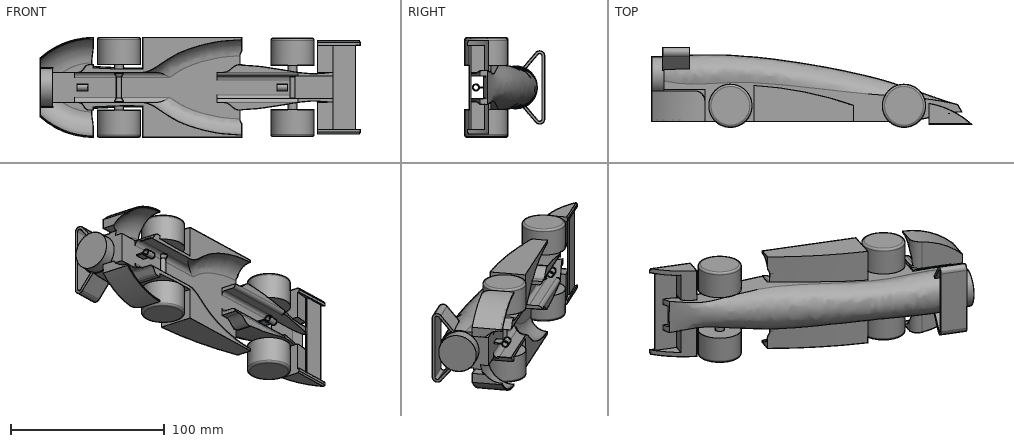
import cadquery as cq


CAR_LENGTH = 208.0
HALF_WIDTH = 32.5
FLOOR = 3.7
CEILING = 14.8
MARGIN = 4.2

WHEEL_DIAMETER = 28.0
WHEEL_WIDTH = 17.7
WHEEL_EDGE_RADIUS = 1.5
AXLE_HEIGHT = WHEEL_DIAMETER / 2
AXLE_DIAMETER = 3.5
STUB_DIAMETER = 6.0
STUB_INNER_Z = 6.9
STUB_TAPER_LENGTH = 2.3
REAR_AXLE_X = 51.2
FRONT_AXLE_X = 164.0
REAR_WHEEL_OUTER_Z = HALF_WIDTH
FRONT_WHEEL_OUTER_Z = 32.0

THRUSTER_RADIUS = 12.5
THRUSTER_HEIGHT = 33.5
HULL_START = 8.1

HULL_SECTIONS = [
    (HULL_START, 12.5, 30.2, 46.8),
    (41.6, 12.3, 28.7, 47.2),
    (83.2, 13.0, 27.9, 43.9),
    (131.0, 14.5, 22.7, 35.5),
    (164.3, 10.2, 20.0, 26.5),
    (189.3, 9.8, 16.9, 17.7),
    (201.8, 9.8, 14.1, 14.5),
]
NOSE_TIP_X = 201.5
NOSE_TOP_END = (198.7, 15.2)
NOSE_TIP_HEIGHT = 10.0
NOSE_UNDERSIDE_START = 167.5
NOSE_UNDERSIDE_END = 197.6
NOSE_CEILING_END = 12.7

POD_END = 34.5
POD_TOP = 23.7
POD_BACK_Z = 19.1
POD_INNER_Z = 13.0
POD_ROOF_RADIUS = 6.5
POD_WALL = 0.8
POD_COVE_RADIUS = 15.5
POD_CAVITY_TOP = 20.5
POD_ROOT_TOP = 24.8
POD_ROOT_Z = 13.5
POD_RISE = HALF_WIDTH - POD_BACK_Z
POD_ARC_RADIUS = (POD_END**2 + POD_RISE**2) / (2 * POD_RISE)
POD_ARC_CENTRE_Z = HALF_WIDTH - POD_ARC_RADIUS

SIDEPOD_START = 66.5
SIDEPOD_END = 131.0
SIDEPOD_TOP_START = 27.3
SIDEPOD_TOP_MIDDLE = (106.7, 21.5)
SIDEPOD_TOP_END = 14.4
TUNNEL_COVE_RADIUS = 10.5
TUNNEL_MIDDLE = [(77.2, 14.4), (88.5, 21.5), (108.2, 28.3)]
TUNNEL_END_Z = 31.0
TUNNEL_START_DIRECTION = (1, 0.1)
TUNNEL_END_DIRECTION = (1, 0.05)

CHANNEL_HALF_WIDTH = 9.8
REAR_COVE_RADIUS = 3.3
REAR_WALL_START = 22.5
REAR_WALL_FLARE_START = 24.8
REAR_WALL_FLARE_END = 32.0
REAR_CHANNEL_END = 87.4
FRONT_CHANNEL_HALF_WIDTH = 7.3
FRONT_COVE_RADIUS = 2.5
FRONT_LIP_RADIUS = CHANNEL_HALF_WIDTH - FRONT_CHANNEL_HALF_WIDTH
FRONT_WALL_START = 114.8
FRONT_WALL_FLARE_START = 119.0
FRONT_WALL_FLARE_END = 129.8
WALL_FLARE_Z = 14.8

WING_START = 180.2
WING_TOP = 15.5
WING_BOTTOM = 1.9
WING_TOP_MIDDLE = (194.5, 11.0)
ENDPLATE_INNER_Z = 27.3
ENDPLATE_OUTER_Z = 30.4
ENDPLATE_CHAMFER_HEIGHT = 1.2
ENDPLATE_CHAMFER_WIDTH = 0.6
BLOCK_END = 190.1
BLOCK_INNER_Z = 9.5
BLOCK_BOTTOM_START = 3.0
BLOCK_BOTTOM_END = 4.0
FLAP_END = 205.0
FLAP_BOTTOM = 3.0
FLAP_TOP = 4.2

REAR_WING_START = 7.0
REAR_WING_END = 24.8
REAR_WING_TOP = 52.0
REAR_WING_CORNER_Z = 29.5
REAR_WING_FOOT = 35.4
REAR_WING_FOOT_Z = 10.0
REAR_WING_THICKNESS = 1.9
REAR_WING_CORNER_RADIUS = 3.3

EYELET_OUTER_DIAMETER = 4.5
EYELET_BORE = 3.5
EYELET_HEIGHT = 7.3
EYELET_LENGTH = 7.0
EYELET_RIB = 0.8
EYELET_STARTS = [24.0, 153.7]


def box(x0, x1, y0, y1, z0, z1):
    """Box between the given limits."""
    return cq.Workplane("XY").box(x1 - x0, y1 - y0, z1 - z0, centered=False).translate((x0, y0, z0))


def plan(height):
    """Horizontal workplane at a height, with local coordinates (X, Z); it extrudes towards -Y."""
    return cq.Workplane(cq.Plane((0, height, 0), xDir=(1, 0, 0), normal=(0, -1, 0)))


def mirrored(shape):
    """Shape together with its mirror image on the other side of the car."""
    return shape.union(shape.mirror("XY"))


def along_x(x, height, radius, length):
    """Cylinder on the plane of symmetry, running along X."""
    return cq.Workplane("YZ", origin=(x, height, 0)).circle(radius).extrude(length)


def make_hull():
    hull = cq.Workplane("YZ")
    previous_x = 0.0
    for x, half_width, crease, ridge in HULL_SECTIONS:
        hull = (
            hull.workplane(offset=x - previous_x)
            .moveTo(crease, -half_width)
            .threePointArc((ridge, 0), (crease, half_width))
            .lineTo(FLOOR, half_width)
            .lineTo(FLOOR, -half_width)
            .close()
        )
        previous_x = x
    hull = hull.loft(combine=True)
    thruster = along_x(0, THRUSTER_HEIGHT, THRUSTER_RADIUS, HULL_START + MARGIN)
    return hull.union(thruster)


def pod_arc_z(x, radius):
    """Z on a circle that shares its centre with the outer arc of the pod."""
    return POD_ARC_CENTRE_Z + (radius**2 - (x - POD_END) ** 2) ** 0.5


def make_pod():
    middle_x = POD_END / 2
    pod = (
        plan(POD_TOP)
        .moveTo(0, POD_INNER_Z)
        .lineTo(0, POD_BACK_Z)
        .threePointArc((middle_x, pod_arc_z(middle_x, POD_ARC_RADIUS)), (POD_END, HALF_WIDTH))
        .lineTo(POD_END, CHANNEL_HALF_WIDTH)
        .lineTo(HULL_START, CHANNEL_HALF_WIDTH)
        .lineTo(HULL_START, POD_INNER_Z)
        .close()
        .extrude(POD_TOP - FLOOR)
    )
    pod = pod.faces(">X").edges(">Y").fillet(POD_ROOF_RADIUS)
    return pod.union(box(HULL_START, POD_END, FLOOR, POD_ROOT_TOP, 0, POD_ROOT_Z))


def make_sidepod():
    return (
        cq.Workplane("XY")
        .moveTo(SIDEPOD_START, FLOOR)
        .lineTo(SIDEPOD_START, SIDEPOD_TOP_START)
        .threePointArc(SIDEPOD_TOP_MIDDLE, (SIDEPOD_END, SIDEPOD_TOP_END))
        .lineTo(SIDEPOD_END, FLOOR)
        .close()
        .extrude(HALF_WIDTH)
    )


def wall_keeper(start, flare_start, flare_end, end):
    """Block that protects a channel wall, with an outer face that flares out in an S."""
    return (
        plan(POD_CAVITY_TOP + MARGIN)
        .moveTo(start, 0)
        .lineTo(start, CHANNEL_HALF_WIDTH)
        .lineTo(flare_start, CHANNEL_HALF_WIDTH)
        .spline([(flare_end, WALL_FLARE_Z)], tangents=[(1, 0), (1, 0)], includeCurrent=True)
        .lineTo(end, WALL_FLARE_Z)
        .lineTo(end, 0)
        .close()
        .extrude(POD_CAVITY_TOP + 2 * MARGIN)
    )


def pod_cavity():
    """Space under a rear pod, coved where it meets the outer wall."""
    radius = POD_ARC_RADIUS - POD_WALL
    back_x = -MARGIN
    middle_x = POD_END / 2
    cavity = (
        plan(POD_CAVITY_TOP)
        .moveTo(back_x, -CHANNEL_HALF_WIDTH)
        .lineTo(back_x, pod_arc_z(back_x, radius))
        .threePointArc((middle_x, pod_arc_z(middle_x, radius)), (POD_END, HALF_WIDTH - POD_WALL))
        .lineTo(POD_END, -CHANNEL_HALF_WIDTH)
        .close()
        .extrude(POD_CAVITY_TOP - FLOOR + MARGIN)
    )
    cavity = cavity.edges(cq.selectors.NearestToPointSelector((middle_x, POD_CAVITY_TOP, HALF_WIDTH)))
    cavity = cavity.fillet(POD_COVE_RADIUS)
    beside_channel = box(back_x, POD_END, -MARGIN, POD_CAVITY_TOP, CHANNEL_HALF_WIDTH, HALF_WIDTH)
    cavity = cavity.intersect(beside_channel)
    return cavity.cut(
        wall_keeper(REAR_WALL_START, REAR_WALL_FLARE_START, REAR_WALL_FLARE_END, POD_END + MARGIN)
    )


def sidepod_tunnel():
    """Coved tunnel that leaves the channel and sweeps outwards under a sidepod."""
    tunnel_x, tunnel_z = TUNNEL_MIDDLE[1]
    far_z = -HALF_WIDTH
    tunnel = (
        plan(CEILING)
        .moveTo(SIDEPOD_START, far_z)
        .lineTo(SIDEPOD_START, CHANNEL_HALF_WIDTH)
        .spline(
            TUNNEL_MIDDLE + [(SIDEPOD_END, TUNNEL_END_Z)],
            tangents=[TUNNEL_START_DIRECTION, TUNNEL_END_DIRECTION],
            includeCurrent=True,
        )
        .lineTo(SIDEPOD_END, far_z)
        .close()
        .extrude(CEILING - FLOOR + MARGIN)
    )
    tunnel = tunnel.edges(cq.selectors.NearestToPointSelector((tunnel_x, CEILING, tunnel_z)))
    tunnel = tunnel.fillet(TUNNEL_COVE_RADIUS)
    flat_half_width = CHANNEL_HALF_WIDTH - REAR_COVE_RADIUS
    tunnel = tunnel.intersect(box(SIDEPOD_START, SIDEPOD_END, -MARGIN, CEILING, flat_half_width, HALF_WIDTH))
    return tunnel.cut(
        wall_keeper(FRONT_WALL_START, FRONT_WALL_FLARE_START, FRONT_WALL_FLARE_END, SIDEPOD_END + MARGIN)
    )


def rear_channel():
    """Channel under the back of the hull; ahead of its walls the roof is flat."""
    half_width = CHANNEL_HALF_WIDTH
    coved = box(REAR_WALL_START, REAR_CHANNEL_END, -MARGIN, CEILING, -half_width, half_width)
    coved = coved.edges("|X and >Y").fillet(REAR_COVE_RADIUS)
    behind_walls = box(0, REAR_WALL_START, -MARGIN, CEILING, -half_width, half_width)
    flat_half_width = half_width - REAR_COVE_RADIUS
    ahead = box(REAR_CHANNEL_END, FRONT_WALL_START, -MARGIN, CEILING, -flat_half_width, flat_half_width)
    return coved.union(behind_walls).union(ahead)


def front_channel():
    """Channel between the front walls, coved at the roof and rounded at the lower lips."""
    half_width = FRONT_CHANNEL_HALF_WIDTH
    lip_height = FLOOR + FRONT_LIP_RADIUS
    half = (
        cq.Workplane("YZ", origin=(FRONT_WALL_START, 0, 0))
        .moveTo(CEILING, 0)
        .lineTo(CEILING, half_width - FRONT_COVE_RADIUS)
        .radiusArc((CEILING - FRONT_COVE_RADIUS, half_width), -FRONT_COVE_RADIUS)
        .lineTo(lip_height, half_width)
        .radiusArc((FLOOR, CHANNEL_HALF_WIDTH), FRONT_LIP_RADIUS)
        .lineTo(-MARGIN, CHANNEL_HALF_WIDTH)
        .lineTo(-MARGIN, 0)
        .close()
        .extrude(NOSE_UNDERSIDE_START - FRONT_WALL_START)
    )
    return mirrored(half)


def nose_channel():
    """Channel through the nose, with a roof that slopes down towards the tip."""
    return (
        cq.Workplane("XY")
        .moveTo(FRONT_AXLE_X, -MARGIN)
        .lineTo(FRONT_AXLE_X, CEILING)
        .lineTo(BLOCK_END, CEILING)
        .lineTo(CAR_LENGTH, NOSE_CEILING_END)
        .lineTo(CAR_LENGTH, -MARGIN)
        .close()
        .extrude(FRONT_CHANNEL_HALF_WIDTH, both=True)
    )


def nose_trim():
    """Space below and in front of the nose."""
    return (
        cq.Workplane("XY")
        .moveTo(NOSE_UNDERSIDE_START, -MARGIN)
        .lineTo(NOSE_UNDERSIDE_START, FLOOR)
        .lineTo(NOSE_UNDERSIDE_END, NOSE_TIP_HEIGHT)
        .lineTo(NOSE_TIP_X, NOSE_TIP_HEIGHT)
        .lineTo(*NOSE_TOP_END)
        .lineTo(NOSE_TOP_END[0], NOSE_TOP_END[1] + MARGIN)
        .lineTo(CAR_LENGTH, NOSE_TOP_END[1] + MARGIN)
        .lineTo(CAR_LENGTH, -MARGIN)
        .close()
        .extrude(HALF_WIDTH, both=True)
    )


def wing_profile(inner_z, outer_z):
    """Side profile of the front wing, as a plate between two Z values."""
    return (
        cq.Workplane("XY", origin=(0, 0, inner_z))
        .moveTo(WING_START, WING_BOTTOM)
        .lineTo(WING_START, WING_TOP)
        .threePointArc(WING_TOP_MIDDLE, (CAR_LENGTH, WING_BOTTOM))
        .close()
        .extrude(outer_z - inner_z)
    )


def make_front_wing():
    endplate = (
        wing_profile(ENDPLATE_INNER_Z, ENDPLATE_OUTER_Z)
        .faces("<Y")
        .edges(">Z")
        .chamfer(ENDPLATE_CHAMFER_HEIGHT, ENDPLATE_CHAMFER_WIDTH)
    )
    block_limits = (
        cq.Workplane("XY", origin=(0, 0, BLOCK_INNER_Z))
        .moveTo(WING_START, BLOCK_BOTTOM_START)
        .lineTo(WING_START, WING_TOP)
        .lineTo(BLOCK_END, WING_TOP)
        .lineTo(BLOCK_END, BLOCK_BOTTOM_END)
        .close()
        .extrude(ENDPLATE_INNER_Z - BLOCK_INNER_Z)
    )
    block = wing_profile(BLOCK_INNER_Z, ENDPLATE_INNER_Z).intersect(block_limits)
    flap = box(BLOCK_END, FLAP_END, FLAP_BOTTOM, FLAP_TOP, -ENDPLATE_INNER_Z, ENDPLATE_INNER_Z)
    return mirrored(endplate.union(block)).union(flap)


def make_rear_wing():
    """Folded sheet above the thruster; its feet run into the hull."""
    outline = [
        (REAR_WING_FOOT, -REAR_WING_FOOT_Z),
        (REAR_WING_TOP, -REAR_WING_CORNER_Z),
        (REAR_WING_TOP, REAR_WING_CORNER_Z),
        (REAR_WING_FOOT, REAR_WING_FOOT_Z),
    ]
    length = REAR_WING_END - REAR_WING_START
    base = cq.Workplane("YZ", origin=(REAR_WING_START, 0, 0))
    outer = base.polyline(outline).close().extrude(length)
    inner = base.polyline(outline).close().offset2D(-REAR_WING_THICKNESS).extrude(length)
    outer = outer.edges("|X and >Y").fillet(REAR_WING_CORNER_RADIUS)
    inner = inner.edges("|X and >Y").fillet(REAR_WING_CORNER_RADIUS - REAR_WING_THICKNESS)
    return outer.cut(inner)


def make_eyelet(start):
    """Tether tube that hangs from the channel roof on a thin rib."""
    tube = along_x(start, EYELET_HEIGHT, EYELET_OUTER_DIAMETER / 2, EYELET_LENGTH)
    rib = box(start, start + EYELET_LENGTH, EYELET_HEIGHT, CEILING + MARGIN, -EYELET_RIB / 2, EYELET_RIB / 2)
    bore = along_x(start, EYELET_HEIGHT, EYELET_BORE / 2, EYELET_LENGTH)
    return tube.union(rib).cut(bore)


def make_axle(x, wheel_inner_z):
    """Thin axle across the channel with a thicker stub, tapered at its inner end, out to each wheel."""
    centre = cq.Workplane("XY", origin=(x, AXLE_HEIGHT, 0))
    axle = centre.circle(AXLE_DIAMETER / 2).extrude(wheel_inner_z, both=True)
    stub = (
        centre.workplane(offset=STUB_INNER_Z)
        .circle(STUB_DIAMETER / 2)
        .extrude(wheel_inner_z - STUB_INNER_Z)
        .faces("<Z")
        .chamfer(STUB_TAPER_LENGTH, (STUB_DIAMETER - AXLE_DIAMETER) / 2)
    )
    return axle.union(mirrored(stub))


def make_car_body():
    body = make_hull()
    body = body.union(mirrored(make_pod())).union(mirrored(make_sidepod()))
    body = body.cut(mirrored(pod_cavity())).cut(mirrored(sidepod_tunnel()))
    body = body.cut(rear_channel()).cut(front_channel())
    body = body.cut(nose_channel()).cut(nose_trim())
    body = body.union(make_front_wing()).union(make_rear_wing())
    for start in EYELET_STARTS:
        body = body.union(make_eyelet(start))
    body = body.union(make_axle(REAR_AXLE_X, REAR_WHEEL_OUTER_Z - WHEEL_WIDTH))
    return body.union(make_axle(FRONT_AXLE_X, FRONT_WHEEL_OUTER_Z - WHEEL_WIDTH))


def make_wheel(x, outer_z):
    """Solid wheel on the +Z side, with its outer edge rounded."""
    return (
        cq.Workplane("XY", origin=(x, AXLE_HEIGHT, outer_z - WHEEL_WIDTH))
        .circle(WHEEL_DIAMETER / 2)
        .extrude(WHEEL_WIDTH)
        .faces(">Z")
        .edges()
        .fillet(WHEEL_EDGE_RADIUS)
    )


car_body = make_car_body()

wheels = []
for axle_x, wheel_outer_z in [(REAR_AXLE_X, REAR_WHEEL_OUTER_Z), (FRONT_AXLE_X, FRONT_WHEEL_OUTER_Z)]:
    wheel = make_wheel(axle_x, wheel_outer_z)
    wheels.append(wheel.val())
    wheels.append(wheel.mirror("XY").val())

result = cq.Compound.makeCompound([*car_body.solids().vals(), *wheels])